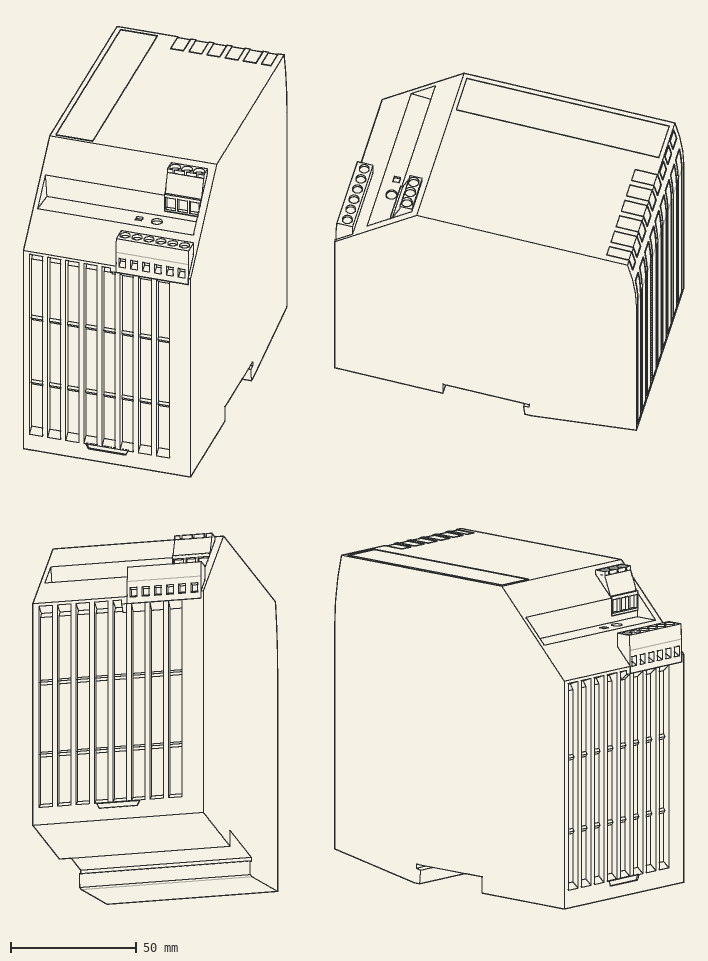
import cadquery as cq
import math

width = 70.0
depth = 125.0
height = 127.8

foot_z = 1.1
slant_start_z = 94.0
slant_run = 34.0
back_top_y = depth - 3.7
back_curve_z = 98.4
back_bottom_z = 7.5
hook_heel_y = 81.5
hook_tip_y = 78.7
hook_lip_y = 78.2
hook_lip_z = 5.6
hook_shoulder_z = 6.1
rail_back_y = 80.5
rail_front_y = 44.8
rail_roof_z = 7.8

display_left = 1.9
display_right = 67.1
display_floor_z = 106.5
display_back_y = 22.6
display_draft = 5.0
square_size = 2.5
square_x = 42.7
button_dia = 4.3
button_x = 50.1
controls_y = 18.0
controls_depth = 1.0

terminal_pitch = 5.0
upper_left = 51.9
upper_top_z = 126.7
upper_front_y = 26.2
upper_back_y = 31.2
upper_lip_z = 125.1
upper_ledge_z = 117.1
upper_ledge_y = 23.1
upper_face_y = 22.2
upper_bottom_z = 109.2
upper_count = 3
upper_first_x = 54.4
upper_screw_dia = 4.3
upper_screw_break = 0.03
upper_screw_depth = upper_top_z - upper_lip_z
upper_window_width = 4.1
upper_window_bottom = 110.2
upper_window_top = 115.7
upper_window_depth = 1.7

lower_left = 38.7
lower_right = 69.0
lower_face_y = 0.3
lower_bottom_z = 91.1
lower_bend_z = 100.4
lower_top_z = 106.5
lower_top_front_y = 0.6
lower_back_y = 7.2
lower_count = 6
lower_first_x = 41.3
lower_screw_dia = 4.0
lower_screw_y = 4.2
lower_screw_depth = 1.3
lower_window_width = 2.8
lower_window_bottom = 93.8
lower_window_sill = 95.0
lower_window_top = 97.7
lower_window_depth = 2.5

vent_count = 8
vent_first_x = 2.5
vent_last_x = 55.7
vent_pitch = (vent_last_x - vent_first_x) / (vent_count - 1)
vent_width = 5.5
vent_depth = 2.8
vent_bottom_z = 8.4
vent_top_z = 92.7
vent_bottom_rise = 2.2
vent_notch_depth = 4.2
vent_notch_z = 91.1
vent_notch_foot_z = 88.9
vent_rib_tips = (31.4, 61.6)
vent_rib_half = 1.0
vent_rib_out = 0.6
shroud_left = 36.4
shroud_inner_z = 88.4

latch_x = 35.0
latch_top_width = 17.6
latch_bottom_width = 15.6
latch_bottom_z = 6.3
latch_depth = 0.8

back_slot_count = 9
back_slot_first_x = 2.7
back_slot_width = 5.4
back_slot_right_limit = 67.5
back_slot_depth = 0.3
back_slot_top_z = 126.5
back_rib_bottom_z = 113.7
back_rib_top_z = 121.0
top_slot_first = 3
top_slot_end_y = 111.9

label_left = 2.0
label_right = 17.5
label_front_y = 35.6
label_back_y = 119.5
label_depth = 0.3

slant_rise = height - slant_start_z
slant_slope = slant_rise / slant_run


def block(x0, x1, y0, y1, z0, z1):
    """Box given by its limits."""
    return cq.Workplane("XY").box(x1 - x0, y1 - y0, z1 - z0, centered=False).translate((x0, y0, z0))


def side_prism(points, x0, x1):
    """Prism with a (Y, Z) outline between two X positions."""
    return cq.Workplane("YZ").workplane(offset=x0).polyline(points).close().extrude(x1 - x0)


def drill_down(x, y, z, diameter, hole_depth):
    """Cylinder going down from a horizontal face."""
    return cq.Workplane("XY").circle(diameter / 2).extrude(-hole_depth).translate((x, y, z))


def row(first, pitch, count):
    return [first + i * pitch for i in range(count)]


def back_arc(inset):
    """Lower, middle and upper points of the back curve, moved inward by inset."""
    drop = depth - back_top_y
    rise = height - back_curve_z
    radius = (drop**2 + rise**2) / (2 * drop)
    sweep = math.asin(rise / radius)
    center_y = depth - radius
    reach = radius - inset
    return [
        (center_y + reach * math.cos(angle), back_curve_z + reach * math.sin(angle))
        for angle in (0, sweep / 2, sweep)
    ]


def make_housing():
    arc_start, arc_middle, arc_end = back_arc(0)
    return (
        cq.Workplane("YZ")
        .moveTo(0, foot_z)
        .lineTo(0, slant_start_z)
        .lineTo(slant_run, height)
        .lineTo(*arc_end)
        .threePointArc(arc_middle, arc_start)
        .lineTo(depth, back_bottom_z)
        .lineTo(hook_heel_y, 0)
        .lineTo(hook_tip_y, 0)
        .lineTo(hook_lip_y, hook_lip_z)
        .lineTo(rail_back_y, hook_shoulder_z)
        .lineTo(rail_back_y, rail_roof_z)
        .lineTo(rail_front_y, rail_roof_z)
        .lineTo(rail_front_y, foot_z)
        .close()
        .extrude(width)
    )


def make_display_recess():
    """Step cut into the slanted face; its left wall leans inward with depth."""
    recess = block(display_left, display_right, 0, display_back_y, display_floor_z, height)
    wall = (
        cq.Workplane("XY")
        .box(slant_run, 2 * height, slant_run, centered=(False, True, False))
        .translate((-slant_run, 0, -slant_run / 2))
        .rotate((0, 0, 0), (0, 1, 0), -display_draft)
        .rotate((0, 0, 0), (1, 0, 0), math.degrees(math.atan(slant_slope)))
        .translate((display_left, 0, slant_start_z))
    )
    return recess.cut(wall)


def make_controls():
    half = square_size / 2
    square = block(
        square_x - half, square_x + half, controls_y - half, controls_y + half,
        display_floor_z - controls_depth, display_floor_z,
    )
    return square.union(drill_down(button_x, controls_y, display_floor_z, button_dia, controls_depth))


def make_upper_terminal():
    outline = [
        (upper_back_y, upper_top_z),
        (upper_front_y, upper_top_z),
        (upper_front_y, upper_lip_z),
        (upper_ledge_y, upper_ledge_z),
        (upper_face_y, upper_ledge_z),
        (upper_face_y, upper_bottom_z),
        (upper_back_y, upper_bottom_z),
    ]
    body = side_prism(outline, upper_left, display_right)
    screw_y = upper_front_y + upper_screw_dia / 2 - upper_screw_break
    for x in row(upper_first_x, terminal_pitch, upper_count):
        body = body.cut(drill_down(x, screw_y, upper_top_z, upper_screw_dia, upper_screw_depth))
    return body


def make_upper_windows():
    half = upper_window_width / 2
    windows = cq.Workplane("XY")
    for x in row(upper_first_x, terminal_pitch, upper_count):
        windows = windows.union(block(
            x - half, x + half, upper_face_y, upper_face_y + upper_window_depth,
            upper_window_bottom, upper_window_top,
        ))
    return windows


def make_lower_seat():
    """Opening in the housing that the lower terminal block fills."""
    return block(lower_left, lower_right, 0, lower_back_y, lower_bottom_z, lower_top_z)


def make_lower_terminal():
    outline = [
        (lower_face_y, lower_bottom_z),
        (lower_face_y, lower_bend_z),
        (lower_top_front_y, lower_top_z),
        (lower_back_y, lower_top_z),
        (lower_back_y, lower_bottom_z),
    ]
    window_outline = [
        (lower_face_y, lower_window_bottom),
        (lower_face_y, lower_window_top),
        (lower_face_y + lower_window_depth, lower_window_top),
        (lower_face_y + lower_window_depth, lower_window_sill),
    ]
    half = lower_window_width / 2
    body = side_prism(outline, lower_left, lower_right)
    for x in row(lower_first_x, terminal_pitch, lower_count):
        body = body.cut(drill_down(x, lower_screw_y, lower_top_z, lower_screw_dia, lower_screw_depth))
        body = body.cut(side_prism(window_outline, x - half, x + half))
    return body


def make_front_vents():
    outline = [
        (0, vent_bottom_z),
        (vent_depth, vent_bottom_z + vent_bottom_rise),
    ]
    for tip_z in vent_rib_tips:
        outline += [
            (vent_depth, tip_z - vent_rib_half),
            (vent_depth - vent_rib_out, tip_z),
            (vent_depth, tip_z + vent_rib_half),
        ]
    outline += [
        (vent_depth, vent_notch_foot_z),
        (vent_notch_depth, vent_notch_z),
        (0, vent_top_z),
    ]
    shroud_outline = [
        (0, lower_bottom_z),
        (vent_depth, shroud_inner_z),
        (vent_notch_depth, shroud_inner_z),
        (vent_notch_depth, slant_start_z),
        (0, slant_start_z),
    ]
    vents = cq.Workplane("XY")
    for x in row(vent_first_x, vent_pitch, vent_count):
        vents = vents.union(side_prism(outline, x, x + vent_width))
    return vents.cut(side_prism(shroud_outline, shroud_left, lower_right))


def make_latch_recess():
    half_top = latch_top_width / 2
    half_bottom = latch_bottom_width / 2
    outline = [
        (latch_x - half_top, vent_bottom_z),
        (latch_x + half_top, vent_bottom_z),
        (latch_x + half_bottom, latch_bottom_z),
        (latch_x - half_bottom, latch_bottom_z),
    ]
    return cq.Workplane("XZ").polyline(outline).close().extrude(-latch_depth)


def make_back_slots():
    """Shallow slots that follow the back curve, with a cross rib near the top.

    The slots from top_slot_first on run over the upper edge into the top face.
    """
    outer_start, outer_middle, outer_end = back_arc(0)
    inner_start, inner_middle, inner_end = back_arc(back_slot_depth)
    skin = (
        cq.Workplane("YZ")
        .moveTo(depth, vent_bottom_z)
        .lineTo(*outer_start)
        .threePointArc(outer_middle, outer_end)
        .lineTo(*inner_end)
        .threePointArc(inner_middle, inner_start)
        .lineTo(inner_start[0], vent_bottom_z)
        .close()
        .extrude(width)
        .cut(block(0, width, 0, depth, back_rib_bottom_z, back_rib_top_z))
    )
    bars = cq.Workplane("XY")
    top_slots = cq.Workplane("XY")
    for i, x in enumerate(row(back_slot_first_x, vent_pitch, back_slot_count)):
        right = min(x + back_slot_width, back_slot_right_limit)
        reaches_top = i >= top_slot_first
        bars = bars.union(block(x, right, 0, depth, 0, height if reaches_top else back_slot_top_z))
        if reaches_top:
            top_slots = top_slots.union(
                block(x, right, top_slot_end_y, depth, height - back_slot_depth, height)
            )
    return skin.intersect(bars).union(top_slots)


def make_label_field():
    return block(label_left, label_right, label_front_y, label_back_y, height - label_depth, height)


result = (
    make_housing()
    .cut(make_display_recess())
    .cut(make_controls())
    .cut(make_front_vents())
    .cut(make_latch_recess())
    .cut(make_back_slots())
    .cut(make_label_field())
    .cut(make_lower_seat())
    .union(make_upper_terminal())
    .cut(make_upper_windows())
    .union(make_lower_terminal())
)